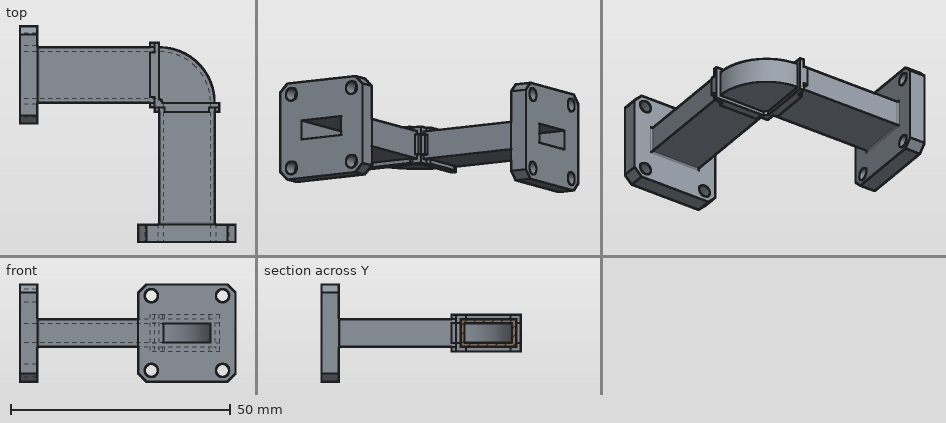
import cadquery as cq

overall = 49.2

tube_width = 12.7
tube_height = 6.35
wall = 1.0
bore_width = tube_width - 2 * wall
bore_height = tube_height - 2 * wall

flange_size = 22.25
flange_thickness = 4.0
flange_chamfer = 1.9
hole_diameter = 2.95
hole_pitch_across = 16.25
hole_pitch_up = 17.05
weld_radius = 0.35

collar_step = 1.05
long_tab_inset = 1.3
short_tab_inset = 0.9
inner_corner_radius = 0.75

flange_overhang = (flange_size - tube_width) / 2
arm_length = overall - tube_width - flange_overhang
tube_length = arm_length - flange_thickness
collar_width = tube_width + 2 * collar_step
collar_height = tube_height + 2 * collar_step


def arm_section(x):
    """Workplane across the arm along -X, centred on the tube, facing +X (local x is Y, local y is Z)."""
    return cq.Workplane("YZ", origin=(x, tube_width / 2, 0))


def flange():
    """Square plate with cut corners and four bolt holes."""
    plate = (
        arm_section(-arm_length)
        .rect(flange_size, flange_size)
        .extrude(flange_thickness)
        .edges("|X")
        .chamfer(flange_chamfer)
    )
    holes = (
        arm_section(-arm_length)
        .rect(hole_pitch_across, hole_pitch_up, forConstruction=True)
        .vertices()
        .circle(hole_diameter / 2)
        .extrude(flange_thickness)
    )
    return plate.cut(holes)


def collar():
    """Ring around the tube end, with a tab along the middle of each of its four sides."""
    ring = arm_section(-collar_step).rect(collar_width, collar_height).extrude(collar_step)
    tab_start = arm_section(-2 * collar_step)
    long_side_tabs = tab_start.rect(tube_width - 2 * long_tab_inset, collar_height).extrude(collar_step)
    short_side_tabs = tab_start.rect(collar_width, tube_height - 2 * short_tab_inset).extrude(collar_step)
    return ring.union(long_side_tabs).union(short_side_tabs)


def arm():
    """Flanged tube along -X with a weld fillet at the flange and a collar at the bend."""
    tube = arm_section(-tube_length).rect(tube_width, tube_height).extrude(tube_length)
    tube_foot = cq.selectors.BoxSelector(
        (-tube_length - weld_radius, -weld_radius, -tube_height),
        (-tube_length + weld_radius, tube_width + weld_radius, tube_height),
    )
    return flange().union(tube).edges(tube_foot).fillet(weld_radius).union(collar())


def arm_bore():
    return arm_section(-arm_length).rect(bore_width, bore_height).extrude(arm_length)


def quarter_disc(radius, height):
    """Quarter cylinder about the inner corner, filling the +X +Y quadrant."""
    return (
        cq.Workplane("XY", origin=(0, 0, -height / 2))
        .lineTo(radius, 0)
        .radiusArc((0, radius), -radius)
        .close()
        .extrude(height)
    )


def other_arm(shape):
    """Swap X and Y to carry a feature of the -X arm to the -Y arm."""
    return shape.rotate((0, 0, 0), (1, 1, 0), 180)


bend = quarter_disc(tube_width, tube_height)
inner_corner = quarter_disc(inner_corner_radius, collar_height)
bend_bore = quarter_disc(tube_width - wall, bore_height).cut(quarter_disc(wall, bore_height))

body = arm().union(other_arm(arm())).union(bend).union(inner_corner)
result = body.cut(arm_bore()).cut(other_arm(arm_bore())).cut(bend_bore)